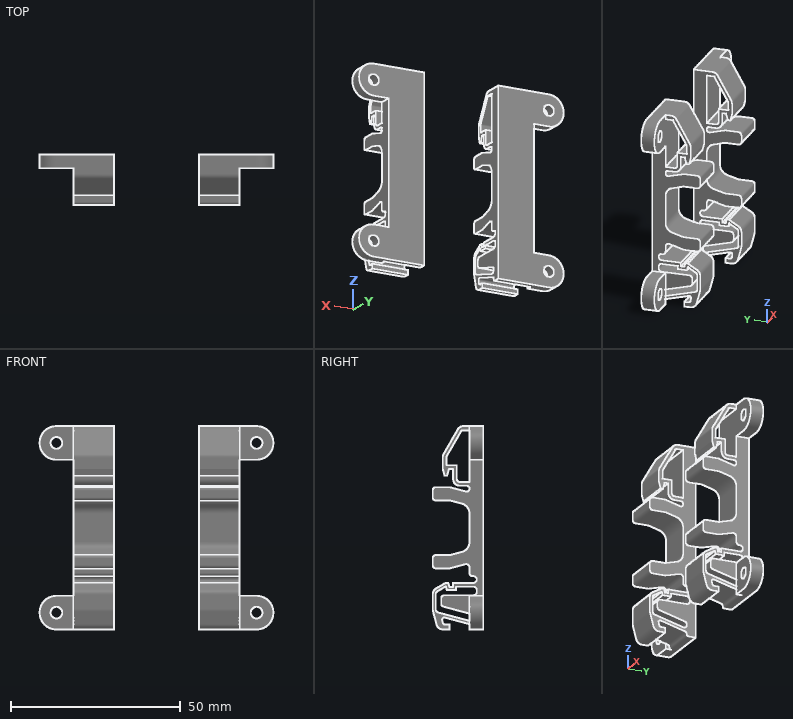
import cadquery as cq
import math


TOTAL_WIDTH = 69.0
HEIGHT = 60.0
DEPTH = 15.0
MIDDLE = HEIGHT / 2

TAB_LENGTH = 10.0
TAB_RADIUS = TAB_LENGTH / 2
HOLE_DIAMETER = 3.4
BODY_WIDTH = 12.0
PLATE = 4.15
BODY_OUTER_X = TOTAL_WIDTH / 2 - TAB_LENGTH
BODY_INNER_X = BODY_OUTER_X - BODY_WIDTH

SHARP = 0.0
TOLERANCE = 6.9e-07
SMALL_RADIUS = 0.8
ROUND = 1.0
LARGE_ROUND = 2.0
ROOT_RADIUS = 3.0
DRAFT_ANGLE = math.radians(15)
STEEP_ANGLE = math.radians(30)
DRAFT = math.tan(DRAFT_ANGLE)
STEEP = math.tan(STEEP_ANGLE)
WALL = 1.2

ARM_OUTER = 12.0
ARM_INNER = 8.0
ARM_OUTER_BEND = 9.95
ARM_INNER_BEND = 9.8
ARM_OUTER_ROOT = ARM_OUTER - (ARM_OUTER_BEND - PLATE) * DRAFT
ARM_INNER_ROOT = ARM_INNER - (ARM_INNER_BEND - PLATE) * DRAFT

COVER_FRONT = 12.0
COVER_ROOF = 1.4
COVER_BEND = HEIGHT - 8.7
COVER_ROOF_END = COVER_FRONT - (HEIGHT - COVER_BEND) * STEEP
SHELF_BOTTOM = HEIGHT - 12.7
SHELF_TOP = SHELF_BOTTOM + WALL
LIP_LENGTH = 2.0
LIP_BOTTOM = SHELF_BOTTOM - LIP_LENGTH
LIP_BACK = 10.15
LIP_TAPER = LIP_LENGTH * DRAFT
STEP_FRONT = 9.0
STEP_BACK = STEP_FRONT - WALL
COVER_FLOOR_BOTTOM = HEIGHT - 17.65
COVER_FLOOR_TOP = COVER_FLOOR_BOTTOM + WALL
COVER_SLOT_RADIUS = 0.75

SLOT_END = 2.0
UPPER_SLOT_TOP = 15.7
LEAF_TOP = 13.8
LEAF_BOTTOM = LEAF_TOP - WALL
GROOVE_BACK = 9.0
GROOVE_FRONT = 10.0
GROOVE_FLOOR = 12.6
GROOVE_TAPER = (LEAF_TOP - GROOVE_FLOOR) * DRAFT
RIDGE_FRONT = 11.1
FRONT_WALL = 1.0
SHOULDER = LEAF_TOP - (DEPTH - RIDGE_FRONT) * STEEP
KEEL_BACK = 8.0
KEEL_FRONT = 10.8
KEEL_BOTTOM = 11.65
FRONT_FOOT = 5.7
HOOK_TIP = 9.95
HOOK_THICKNESS = 1.5
HOOK_THROAT = 11.8
HOOK_RADIUS = 0.6
STRUT_ROOT_TOP = 2.6
STRUT_ROOT_BOTTOM = 1.6
HEEL = 3.0
HEEL_RADIUS = 0.6

PRONG_TOP = 10.15
PRONG_TIP = 12.5
PRONG_ROOT_BOTTOM = 4.7
LOWER_SLOT_RADIUS = 0.9


def rounded_face(corners):
    """Make a YZ face from (depth, height, radius) corners, each radius tangent to both sides."""
    count = len(corners)
    ends = []
    for index in range(count):
        depth, height, radius = corners[index]
        corner = cq.Vector(0, -depth, height)
        before = cq.Vector(0, -corners[index - 1][0], corners[index - 1][1])
        following = corners[(index + 1) % count]
        after = cq.Vector(0, -following[0], following[1])
        to_before = (before - corner).normalized()
        to_after = (after - corner).normalized()
        half_angle = to_before.getAngle(to_after) / 2
        reach = radius / math.tan(half_angle)
        bisector = (to_before + to_after).normalized()
        nearest = radius / math.sin(half_angle) - radius
        ends.append((corner + to_before * reach, corner + bisector * nearest, corner + to_after * reach, radius))
    edges = []
    for index, (start, middle, end, radius) in enumerate(ends):
        if radius > SHARP:
            edges.append(cq.Edge.makeThreePointArc(start, middle, end))
        next_start = ends[(index + 1) % count][0]
        if (next_start - end).Length > TOLERANCE:
            edges.append(cq.Edge.makeLine(end, next_start))
    return cq.Face.makeFromWires(cq.Wire.assembleEdges(edges))


def strut_line(depth, root_height):
    """Height at a depth on a sloped surface that leaves the plate front at root_height."""
    return root_height + (depth - PLATE) * DRAFT


def cover_corners():
    """Outer side of the upper cover, from the top of the back face down to the slot above the arms."""
    return [
        (0, HEIGHT, SHARP),
        (COVER_ROOF_END, HEIGHT, LARGE_ROUND),
        (COVER_FRONT, COVER_BEND, LARGE_ROUND),
        (COVER_FRONT, SHELF_BOTTOM, SHARP),
        (COVER_FRONT - LIP_TAPER, LIP_BOTTOM, SHARP),
        (LIP_BACK + LIP_TAPER, LIP_BOTTOM, SHARP),
        (LIP_BACK, SHELF_BOTTOM, SHARP),
        (STEP_FRONT, SHELF_BOTTOM, SHARP),
        (STEP_FRONT, COVER_FLOOR_BOTTOM, LARGE_ROUND),
        (PLATE, COVER_FLOOR_BOTTOM, COVER_SLOT_RADIUS),
    ]


def arm_corners():
    """Two arms and the plate front between them, from the upper arm to the lower."""
    outer_part = [
        (ARM_OUTER_BEND, ARM_OUTER, SHARP),
        (DEPTH, ARM_OUTER, ROUND),
        (DEPTH, ARM_INNER, ROUND),
        (ARM_INNER_BEND, ARM_INNER, SHARP),
        (PLATE, ARM_INNER_ROOT, ROOT_RADIUS),
    ]
    upper = [(PLATE, MIDDLE + ARM_OUTER_ROOT, COVER_SLOT_RADIUS)]
    upper += [(depth, MIDDLE + offset, radius) for depth, offset, radius in outer_part]
    lower = [(depth, MIDDLE - offset, radius) for depth, offset, radius in reversed(outer_part)]
    lower.append((PLATE, MIDDLE - ARM_OUTER_ROOT, ROUND))
    return upper + lower


def latch_corners():
    """Outer side of the latch, from the slot below the arms to the bottom of the back face."""
    leaf_slot_radius = (UPPER_SLOT_TOP - LEAF_TOP) / 2
    hook_roof = strut_line(HOOK_THROAT, STRUT_ROOT_BOTTOM)
    throat_lean = (hook_roof - HOOK_THICKNESS) * DRAFT
    return [
        (PLATE, UPPER_SLOT_TOP, ROUND),
        (SLOT_END, UPPER_SLOT_TOP, leaf_slot_radius),
        (SLOT_END, LEAF_TOP, leaf_slot_radius),
        (GROOVE_BACK, LEAF_TOP, SHARP),
        (GROOVE_BACK, GROOVE_FLOOR, SHARP),
        (GROOVE_FRONT, GROOVE_FLOOR, SHARP),
        (GROOVE_FRONT + GROOVE_TAPER, LEAF_TOP, SHARP),
        (RIDGE_FRONT, LEAF_TOP, SHARP),
        (DEPTH, SHOULDER, LARGE_ROUND),
        (DEPTH, FRONT_FOOT, ROOT_RADIUS),
        (DEPTH - FRONT_FOOT * DRAFT, 0, LARGE_ROUND),
        (HOOK_TIP, 0, SHARP),
        (HOOK_TIP, HOOK_THICKNESS, SHARP),
        (HOOK_THROAT, HOOK_THICKNESS, HOOK_RADIUS),
        (HOOK_THROAT + throat_lean, strut_line(HOOK_THROAT + throat_lean, STRUT_ROOT_BOTTOM), HOOK_RADIUS),
        (HEEL, strut_line(HEEL, STRUT_ROOT_BOTTOM), SMALL_RADIUS),
        (HEEL, 0, HEEL_RADIUS),
        (0, 0, SHARP),
    ]


def cover_window():
    """Opening enclosed by the upper cover and the plate."""
    front = COVER_FRONT - WALL
    bend = COVER_BEND - WALL * math.tan(STEEP_ANGLE / 2)
    roof = HEIGHT - COVER_ROOF
    return [
        (PLATE, roof, SHARP),
        (front - (roof - bend) * STEEP, roof, SHARP),
        (front, bend, SMALL_RADIUS),
        (front, SHELF_TOP, SHARP),
        (STEP_BACK, SHELF_TOP, SHARP),
        (STEP_BACK, COVER_FLOOR_TOP, SMALL_RADIUS),
        (PLATE, COVER_FLOOR_TOP, SHARP),
    ]


def latch_window():
    """Opening enclosed by the latch and the plate, going around the prong."""
    front = DEPTH - FRONT_WALL
    slope_drop = FRONT_WALL / math.cos(STEEP_ANGLE)
    shoulder = SHOULDER + FRONT_WALL * STEEP - slope_drop
    peak = KEEL_FRONT + (LEAF_BOTTOM - KEEL_BOTTOM) * DRAFT
    peak_height = shoulder + (front - peak) * STEEP
    return [
        (SLOT_END, LEAF_BOTTOM, ROUND),
        (KEEL_BACK, LEAF_BOTTOM, SHARP),
        (KEEL_BACK, KEEL_BOTTOM, SHARP),
        (KEEL_FRONT, KEEL_BOTTOM, SHARP),
        (peak, peak_height, SHARP),
        (front, shoulder, SMALL_RADIUS),
        (front, strut_line(front, STRUT_ROOT_TOP), SMALL_RADIUS),
        (HEEL, strut_line(HEEL, STRUT_ROOT_TOP), LOWER_SLOT_RADIUS),
        (HEEL, strut_line(HEEL, PRONG_ROOT_BOTTOM), LOWER_SLOT_RADIUS),
        (PRONG_TIP, strut_line(PRONG_TIP, PRONG_ROOT_BOTTOM), ROUND),
        (PRONG_TIP, PRONG_TOP, ROUND),
        (SLOT_END, PRONG_TOP, ROUND),
    ]


def extrude_profile(corners):
    solid = cq.Solid.extrudeLinear(rounded_face(corners), cq.Vector(BODY_WIDTH, 0, 0))
    return cq.Workplane(solid).translate((BODY_INNER_X, 0, 0))


def screw_tab(center_height):
    center_x = TOTAL_WIDTH / 2 - TAB_RADIUS
    length = center_x - BODY_OUTER_X
    block = cq.Workplane("XY").box(length, PLATE, 2 * TAB_RADIUS).translate(
        (BODY_OUTER_X + length / 2, -PLATE / 2, center_height)
    )
    plane = cq.Workplane("XZ", origin=(center_x, 0, center_height))
    return block.union(plane.circle(TAB_RADIUS).extrude(PLATE)).cut(plane.circle(HOLE_DIAMETER / 2).extrude(PLATE))


def make_holder():
    holder = extrude_profile(cover_corners() + arm_corners() + latch_corners())
    for window in (cover_window(), latch_window()):
        holder = holder.cut(extrude_profile(window))
    for center_height in (TAB_RADIUS, HEIGHT - TAB_RADIUS):
        holder = holder.union(screw_tab(center_height))
    return holder


right_holder = make_holder()
left_holder = right_holder.mirror("YZ")
result = cq.Compound.makeCompound([left_holder.val(), right_holder.val()])